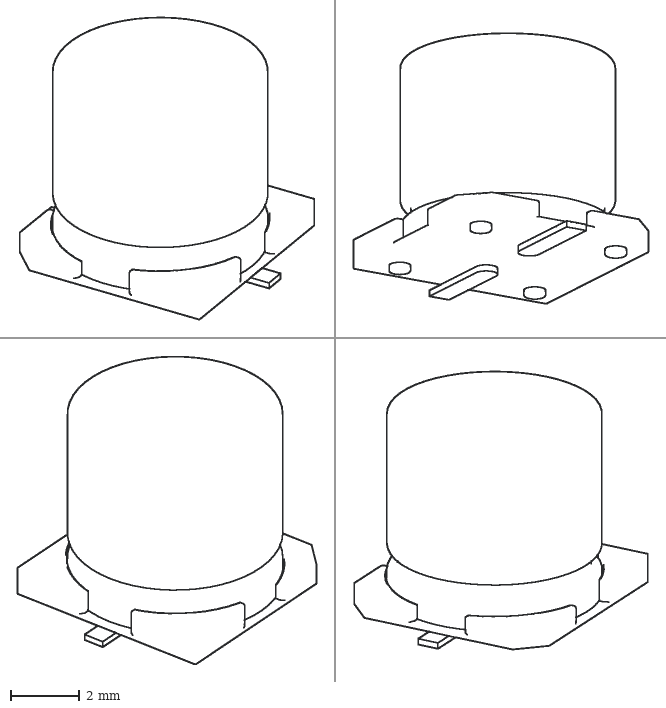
import cadquery as cq

total_height = 6.1
lead_span = 7.8
base_side = 6.6

can_radius = 6.3 / 2
neck_radius = 5.67 / 2
groove_bottom = 1.2
groove_top = 1.81
can_bend_radius = 0.125

base_bottom = 0.19
floor_top = 0.4
low_pad_top = 0.88
tall_pad_top = 1.1
base_chamfer = 0.795
seat_clearance = 0.015
notch_width = 1.715
notch_edge_radius = 0.13
base_edge_radius = 0.04

lead_width = 0.67
lead_gap = 1.795
pin_diameter = 0.63
pin_offset = 2.3
pin_edge_radius = 0.05

tolerance = 0.01


def block(x_min, x_max, width, z_min, z_max):
    """Box centred on Y between the given X and Z limits."""
    size = (x_max - x_min, width, z_max - z_min)
    return cq.Workplane("XY").box(*size, centered=(False, True, False)).translate((x_min, 0, z_min))


def on_base_side(edge):
    """True for an edge lying in one of the four sides of the base."""
    center = edge.Center()
    return max(abs(center.x), abs(center.y)) > base_side / 2 - tolerance


def beside_notch(edge):
    """True for an upright edge lying in a side wall of a notch."""
    center = edge.Center()
    return abs(min(abs(center.x), abs(center.y)) - notch_width / 2) < tolerance


def make_base():
    """Square base with two cut corners, a round seat for the can and a notch in each side."""
    half_side = base_side / 2
    half_notch = notch_width / 2
    base = block(-half_side, half_side, base_side, base_bottom, tall_pad_top)
    base = base.edges("|Z and <X").chamfer(base_chamfer)
    base = base.edges("|Z").fillet(base_edge_radius)

    seat = cq.Workplane("XY").workplane(offset=floor_top).circle(can_radius + seat_clearance)
    base = base.cut(seat.extrude(tall_pad_top - floor_top))
    base = base.cut(block(-half_side, half_side, notch_width, floor_top, tall_pad_top))
    base = base.cut(block(-half_notch, half_notch, base_side, floor_top, tall_pad_top))
    base = base.cut(block(-half_side, 0, base_side, low_pad_top, tall_pad_top))

    upright_edges = base.edges("|Z").filter(on_base_side).filter(beside_notch)
    base = upright_edges.fillet(notch_edge_radius)

    for pad_top in (low_pad_top, tall_pad_top):
        pad_faces = base.faces("|Z").filter(lambda face: abs(face.Center().z - pad_top) < tolerance)
        base = pad_faces.edges().fillet(base_edge_radius)
    floor_edges = base.edges("|X or |Y").filter(on_base_side)
    floor_edges = floor_edges.filter(lambda edge: abs(edge.Center().z - floor_top) < tolerance)
    base = floor_edges.fillet(base_edge_radius)
    return base.faces("<Z").edges().fillet(base_edge_radius)


def make_can():
    """Round can with a neck groove, revolved from its half profile."""
    profile = (
        cq.Workplane("XZ")
        .moveTo(0, floor_top)
        .lineTo(can_radius, floor_top)
        .lineTo(can_radius, groove_bottom)
        .lineTo(neck_radius, groove_bottom)
        .lineTo(neck_radius, groove_top)
        .lineTo(can_radius, groove_top)
        .lineTo(can_radius, total_height)
        .lineTo(0, total_height)
        .close()
    )
    can = profile.revolve(360, (0, 0, 0), (0, 1, 0))
    return can.edges("%CIRCLE and (not <Z)").fillet(can_bend_radius)


def make_lead(side):
    """Flat lead with a rounded inner end, on the +X side (1) or the -X side (-1)."""
    end_radius = lead_width / 2
    end_center = lead_gap / 2 + end_radius
    rounded_end = cq.Workplane("XY").center(end_center, 0).circle(end_radius).extrude(base_bottom)
    lead = block(end_center, lead_span / 2, lead_width, 0, base_bottom).union(rounded_end)
    return lead if side > 0 else lead.mirror("YZ")


def make_pins():
    """Four short standoff pins under the base."""
    spacing = 2 * pin_offset
    pins = cq.Workplane("XY").rarray(spacing, spacing, 2, 2).circle(pin_diameter / 2).extrude(base_bottom)
    return pins.faces("<Z").edges().fillet(pin_edge_radius)


result = make_base().union(make_can()).union(make_pins())
for lead_side in (-1, 1):
    result = result.union(make_lead(lead_side))